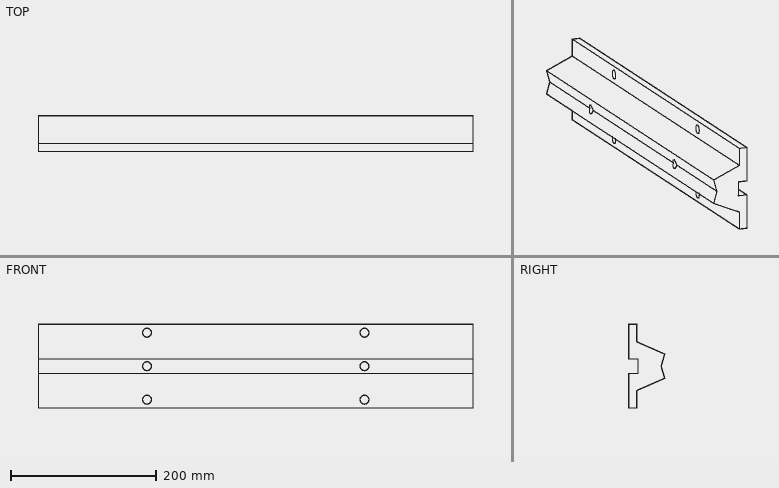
import cadquery as cq

length = 599.5
depth = 50.0
height = 116.0

flange_thickness = 11.5
groove_depth = 12.5
groove_width = 20.0
rib_root_width = 67.0
rib_tip_width = 33.5
notch_depth = 5.0

hole_diameter = 12.0
hole_spacing_x = length / 2
hole_row_spacing = 46.0


def make_profile():
    """Closed YZ section, symmetric about Z = 0, front face on Y = 0."""
    upper_half = [
        (groove_depth, 0),
        (groove_depth, groove_width / 2),
        (0, groove_width / 2),
        (0, height / 2),
        (flange_thickness, height / 2),
        (flange_thickness, rib_root_width / 2),
        (depth, rib_tip_width / 2),
        (depth - notch_depth, 0),
    ]
    lower_half = [(y, -z) for y, z in reversed(upper_half[1:-1])]
    return cq.Workplane("YZ").polyline(upper_half + lower_half).close()


def make_holes():
    """Two columns of three holes along Y, in both flanges and the groove floor."""
    centers = [
        (x, z)
        for x in (-hole_spacing_x / 2, hole_spacing_x / 2)
        for z in (-hole_row_spacing, 0, hole_row_spacing)
    ]
    return cq.Workplane("XZ").pushPoints(centers).circle(hole_diameter / 2).extrude(-depth)


bar = make_profile().extrude(length / 2, both=True)
result = bar.cut(make_holes())